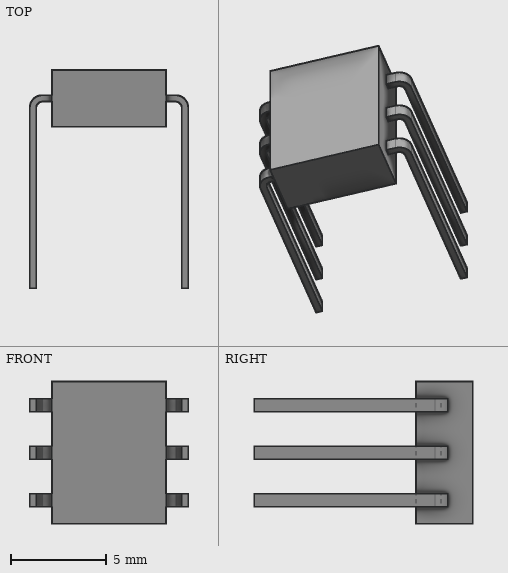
import cadquery as cq

body_width = 6.0
body_depth = 3.0
body_height = 7.5

lead_span = 8.35
lead_thickness = 0.35
lead_width = 0.7
lead_pitch = 2.5
leads_per_side = 3
bend_outer_radius = 0.67
overall_depth = 11.5

bend_inner_radius = bend_outer_radius - lead_thickness
body_side_x = body_width / 2
lead_outer_x = lead_span / 2
lead_inner_x = lead_outer_x - lead_thickness
lead_back_y = lead_thickness / 2
lead_front_y = -lead_thickness / 2
bend_center_x = lead_outer_x - bend_outer_radius
bend_center_y = lead_back_y - bend_outer_radius
lead_tip_y = body_depth / 2 - overall_depth
lead_embed = 0.5


def make_body():
    return cq.Workplane("XY").box(body_width, body_depth, body_height)


def make_right_lead(center_z):
    """L-shaped lead on the +X side, with concentric bend arcs."""
    root_x = body_side_x - lead_embed
    return (
        cq.Workplane("XY", origin=(0, 0, center_z))
        .moveTo(root_x, lead_back_y)
        .lineTo(bend_center_x, lead_back_y)
        .radiusArc((lead_outer_x, bend_center_y), bend_outer_radius)
        .lineTo(lead_outer_x, lead_tip_y)
        .lineTo(lead_inner_x, lead_tip_y)
        .lineTo(lead_inner_x, bend_center_y)
        .radiusArc((bend_center_x, lead_front_y), -bend_inner_radius)
        .lineTo(root_x, lead_front_y)
        .close()
        .extrude(lead_width / 2, both=True)
    )


result = make_body()
for row in range(leads_per_side):
    row_z = (row - (leads_per_side - 1) / 2) * lead_pitch
    right_lead = make_right_lead(row_z)
    left_lead = right_lead.mirror("YZ")
    result = result.union(right_lead).union(left_lead)